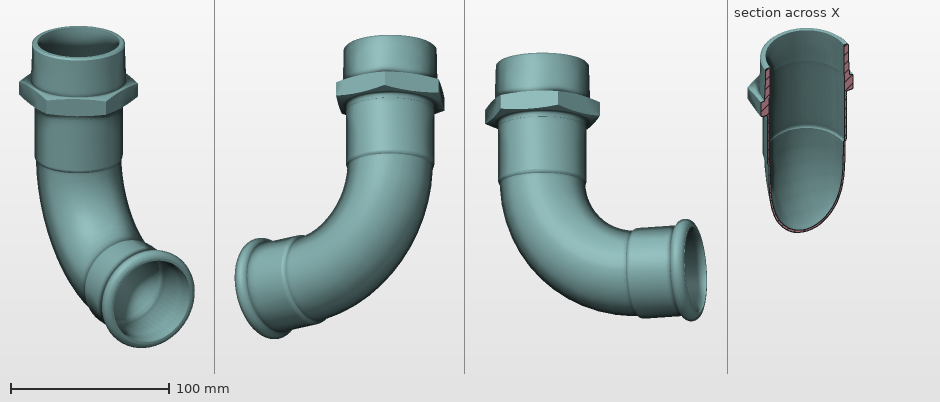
import cadquery as cq
import math

wall = 1.5

tube_diameter = 54.0
bend_radius = 65.0

sleeve_diameter = 56.0
sleeve_start = 62.9
sleeve_neck_length = 2.3

fitting_top = 141.28
collar_bottom = 99.5
joint_groove_width = 0.5
joint_groove_depth = 0.2
hex_across_flats = 65.0
hex_corner_diameter = 75.0
hex_face_diameter = 62.0
hex_bottom = 103.3
hex_height = 12.45
hex_chamfer_angle = 15.0
hex_fillet_radius = 0.9
thread_base_diameter = 60.3
thread_base_height = 1.3
thread_taper = 1 / 16
thread_lead_in = 1.0
fitting_bore = 52.0
fitting_bore_depth = 24.8

socket_diameter = 57.5
socket_start = 61.5
socket_neck_length = 3.1
socket_end = 100.04
bead_diameter = 65.0
bead_arc_radius = 4.75
bead_land_start = 0.65
bead_land_end = 1.75

tube_bore = tube_diameter - 2 * wall
sleeve_bore = sleeve_diameter - 2 * wall
socket_bore = socket_diameter - 2 * wall
hex_across_corners = hex_across_flats / math.cos(math.radians(30))
hex_top = hex_bottom + hex_height
hex_chamfer_height = (
    (hex_corner_diameter - hex_face_diameter) / 2 * math.tan(math.radians(hex_chamfer_angle))
)


def bent_rod(diameter):
    """Quarter-turn rod that ends tangent to both leg axes."""
    middle = bend_radius * (1 - math.cos(math.radians(45)))
    path = (
        cq.Workplane("XZ")
        .moveTo(0, bend_radius)
        .threePointArc((middle, middle), (bend_radius, 0))
    )
    return cq.Workplane("XY", origin=(0, 0, bend_radius)).circle(diameter / 2).sweep(path)


def rounded_rod(start, neck_length, end, neck_diameter, diameter):
    """Rod along Z whose start narrows to the neck diameter with a rounded shoulder."""
    return (
        cq.Workplane("XZ")
        .moveTo(0, end)
        .lineTo(diameter / 2, end)
        .lineTo(diameter / 2, start + neck_length)
        .tangentArcPoint((neck_diameter / 2, start), relative=False)
        .lineTo(0, start)
        .close()
        .revolve(360, (0, 0, 0), (0, 1, 0))
    )


def socket_bead():
    """Rounded bead around the socket mouth with a narrow land next to its crest."""
    centre_height = socket_end - bead_arc_radius
    centre_radius = bead_diameter / 2 - bead_arc_radius

    def arc_point(offset):
        rise = math.sqrt(bead_arc_radius**2 - offset**2)
        return (centre_radius + rise, centre_height + offset)

    half_chord = bead_arc_radius / math.sqrt(2)
    return (
        cq.Workplane("XZ")
        .moveTo(0, centre_height - bead_arc_radius)
        .lineTo(*arc_point(-bead_arc_radius))
        .threePointArc(arc_point(-half_chord), arc_point(bead_land_start))
        .lineTo(*arc_point(bead_land_end))
        .threePointArc(arc_point(half_chord), arc_point(bead_arc_radius))
        .lineTo(0, socket_end)
        .close()
        .revolve(360, (0, 0, 0), (0, 1, 0))
    )


def along_x(body):
    """Turn a body built along Z so that it lies along X."""
    return body.rotate((0, 0, 0), (0, 1, 0), 90)


def hexagon():
    """Hexagon with turned corners and conical chamfers on both faces."""
    corner_radius = hex_corner_diameter / 2
    face_radius = hex_face_diameter / 2
    prism = (
        cq.Workplane("XY", origin=(0, 0, hex_bottom))
        .polygon(6, hex_across_corners)
        .extrude(hex_height)
    )
    turned_envelope = (
        cq.Workplane("XZ")
        .moveTo(0, hex_bottom)
        .lineTo(face_radius, hex_bottom)
        .lineTo(corner_radius, hex_bottom + hex_chamfer_height)
        .lineTo(corner_radius, hex_top - hex_chamfer_height)
        .lineTo(face_radius, hex_top)
        .lineTo(0, hex_top)
        .close()
        .revolve(360, (0, 0, 0), (0, 1, 0))
    )
    return prism.intersect(turned_envelope)


def hexagon_fillet():
    """Concave fillet between the underside of the hexagon and the collar."""
    collar_radius = sleeve_diameter / 2
    fillet_bottom = hex_bottom - hex_fillet_radius
    return (
        cq.Workplane("XZ")
        .moveTo(0, fillet_bottom)
        .lineTo(collar_radius, fillet_bottom)
        .radiusArc((collar_radius + hex_fillet_radius, hex_bottom), hex_fillet_radius)
        .lineTo(0, hex_bottom)
        .close()
        .revolve(360, (0, 0, 0), (0, 1, 0))
    )


def thread_body():
    """Tapered thread envelope on a short cylindrical base, with a lead-in at the top."""
    base_radius = thread_base_diameter / 2
    base_top = hex_top + thread_base_height
    lead_in_start = fitting_top - thread_lead_in
    lead_in_radius = base_radius - (lead_in_start - base_top) * thread_taper / 2
    return (
        cq.Workplane("XZ")
        .moveTo(0, hex_top)
        .lineTo(base_radius, hex_top)
        .lineTo(base_radius, base_top)
        .lineTo(lead_in_radius, lead_in_start)
        .lineTo(lead_in_radius - thread_lead_in, fitting_top)
        .lineTo(0, fitting_top)
        .close()
        .revolve(360, (0, 0, 0), (0, 1, 0))
    )


def joint_groove():
    """Shallow groove where the fitting collar meets the sleeve."""
    return (
        cq.Workplane("XY", origin=(0, 0, collar_bottom - joint_groove_width / 2))
        .circle(sleeve_diameter / 2 + wall)
        .circle(sleeve_diameter / 2 - joint_groove_depth)
        .extrude(joint_groove_width)
    )


sleeve = rounded_rod(sleeve_start, sleeve_neck_length, hex_top, tube_diameter, sleeve_diameter)
socket = rounded_rod(socket_start, socket_neck_length, socket_end, tube_diameter, socket_diameter)
outside = (
    bent_rod(tube_diameter)
    .union(sleeve.cut(joint_groove()))
    .union(hexagon())
    .union(hexagon_fillet())
    .union(thread_body())
    .union(along_x(socket))
    .union(along_x(socket_bead()))
)

bore_step = fitting_top - fitting_bore_depth
sleeve_passage = rounded_rod(sleeve_start, sleeve_neck_length, bore_step, tube_bore, sleeve_bore)
socket_passage = rounded_rod(socket_start, socket_neck_length, socket_end, tube_bore, socket_bore)
fitting_passage = (
    cq.Workplane("XY", origin=(0, 0, bore_step)).circle(fitting_bore / 2).extrude(fitting_bore_depth)
)

result = (
    outside.cut(bent_rod(tube_bore))
    .cut(sleeve_passage)
    .cut(fitting_passage)
    .cut(along_x(socket_passage))
)